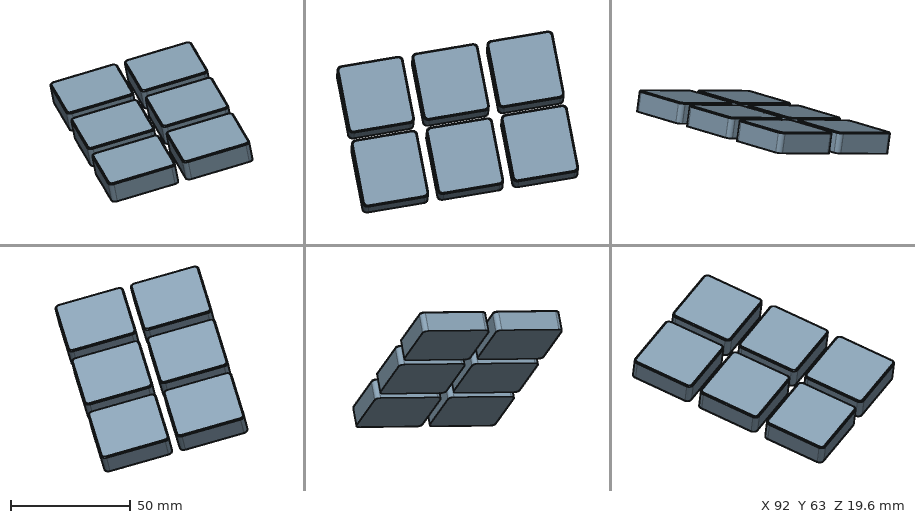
import cadquery as cq

cap_width = 27.95
cap_depth = 29.6
cap_height = 9.0
corner_radius = 2.0
edge_chamfer = 0.5

columns = 3
rows = 2
overall_width = 91.95
column_pitch = (overall_width - cap_width) / (columns - 1)
row_pitch = 32.9
tilt_angle = 10.0


def make_cap():
    """Block with rounded corners and a chamfered top rim, standing on Z = 0 and centred in X and Y."""
    block = cq.Workplane("XY").box(cap_width, cap_depth, cap_height, centered=(True, True, False))
    rounded_block = block.edges("|Z").fillet(corner_radius)
    return rounded_block.faces(">Z").edges().chamfer(edge_chamfer)


def place_cap(column, row):
    """One cap moved to its cell of the flat grid, then tilted with the grid about the X axis."""
    x = (column - (columns - 1) / 2) * column_pitch
    y = (row - (rows - 1) / 2) * row_pitch
    flat_cap = make_cap().translate((x, y, 0))
    return flat_cap.rotate((0, 0, 0), (1, 0, 0), tilt_angle)


caps = []
for row in range(rows):
    for column in range(columns):
        caps.append(place_cap(column, row).val())

result = cq.Compound.makeCompound([*caps])